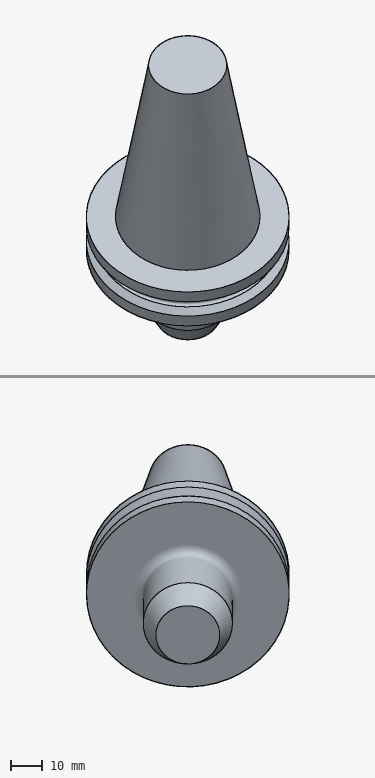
import cadquery as cq
import math

total_height = 118.4
nose_taper_height = 8.9
flange_bottom = 31.0
flange_top = 47.0
rim_height = 4.6

tip_diameter = 20.0
nose_diameter = 28.0
flange_diameter = 63.6
groove_diameter = 56.0
shank_base_diameter = 45.3
shank_top_diameter = 24.5

flank_angle = 30.0
groove_floor_width = 3.8
groove_fillet = 0.6

blend_radius = 3.0

tip_radius = tip_diameter / 2
nose_radius = nose_diameter / 2
flange_radius = flange_diameter / 2
groove_radius = groove_diameter / 2

groove_middle = (flange_bottom + flange_top) / 2
lower_step = groove_middle - groove_floor_width / 2
upper_step = groove_middle + groove_floor_width / 2
lower_rim_top = flange_bottom + rim_height
upper_rim_bottom = flange_top - rim_height
flank_run = (lower_step - lower_rim_top) / math.tan(math.radians(flank_angle))
step_radius = flange_radius - flank_run
fillet_start_radius = groove_radius + groove_fillet

profile = (
    cq.Workplane("XZ")
    .lineTo(tip_radius, 0)
    .lineTo(nose_radius, nose_taper_height)
    .lineTo(nose_radius, flange_bottom - blend_radius)
    .radiusArc((nose_radius + blend_radius, flange_bottom), blend_radius)
    .lineTo(flange_radius, flange_bottom)
    .lineTo(flange_radius, lower_rim_top)
    .lineTo(step_radius, lower_step)
    .lineTo(fillet_start_radius, lower_step)
    .radiusArc((groove_radius, lower_step + groove_fillet), groove_fillet)
    .lineTo(groove_radius, upper_step - groove_fillet)
    .radiusArc((fillet_start_radius, upper_step), groove_fillet)
    .lineTo(step_radius, upper_step)
    .lineTo(flange_radius, upper_rim_bottom)
    .lineTo(flange_radius, flange_top)
    .lineTo(shank_base_diameter / 2, flange_top)
    .lineTo(shank_top_diameter / 2, total_height)
    .lineTo(0, total_height)
    .close()
)

result = profile.revolve(360, (0, 0, 0), (0, 1, 0))